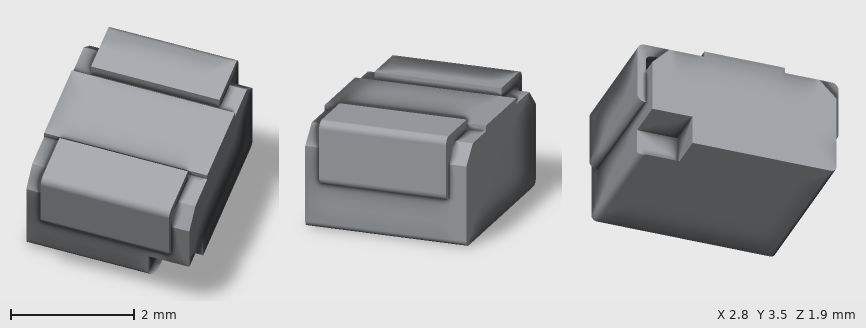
import cadquery as cq

width = 2.8
length = 3.5
height = 1.9

strap_width = 2.205
top_thickness = 0.2
side_thickness = 0.147
strap_height = 1.1
pad_length = 0.952
bend_radius = 0.125
inner_bend_radius = 0.1

housing_length = length - 2 * side_thickness
shoulder_z = height - top_thickness
plateau_height = 0.098
plateau_length = 1.4
top_chamfer = 0.3
bottom_radius = 0.1

notch_width = 0.7
notch_depth = 0.7
notch_height = 0.5
notch_radius = 0.1

strap_bottom = height - strap_height
strap_floor_top = strap_bottom + top_thickness
half_housing = housing_length / 2


def box_on(size_x, size_y, size_z, bottom):
    """Box centred in X and Y with its lower face at the given height."""
    return cq.Workplane("XY").workplane(offset=bottom).box(
        size_x, size_y, size_z, centered=(True, True, False)
    )


def make_strap():
    """Strap running through the housing, up both ends and inward over the top."""
    strap = box_on(strap_width, length, strap_height, strap_bottom)
    strap = strap.edges("|X").fillet(bend_radius)

    inside = box_on(strap_width, housing_length, shoulder_z - strap_floor_top, strap_floor_top)
    inside = inside.edges("|X and >Z").fillet(inner_bend_radius)

    opening = box_on(strap_width, length - 2 * pad_length, top_thickness, shoulder_z)
    return strap.cut(inside).cut(opening)


def make_notch():
    """Notch volume, rounded along its lower inner edge."""
    notch = cq.Workplane("XY").box(notch_width, notch_depth, notch_height, centered=False)
    notch = notch.edges("|Y and <X and <Z").fillet(notch_radius)
    return notch.translate((width / 2 - notch_width, -half_housing, 0))


def make_housing(strap):
    """Block with sloped upper corners and a raised plateau, holding the strap."""
    block = box_on(width, housing_length, shoulder_z, 0)
    block = block.edges("|X and >Z").chamfer(top_chamfer)
    block = block.edges("|X and <Z").fillet(bottom_radius)

    plateau = box_on(width, plateau_length, plateau_height, shoulder_z)
    return block.union(plateau).cut(make_notch()).cut(strap)


strap = make_strap()
housing = make_housing(strap)

result = cq.Compound.makeCompound([housing.solids().val(), strap.solids().val()])